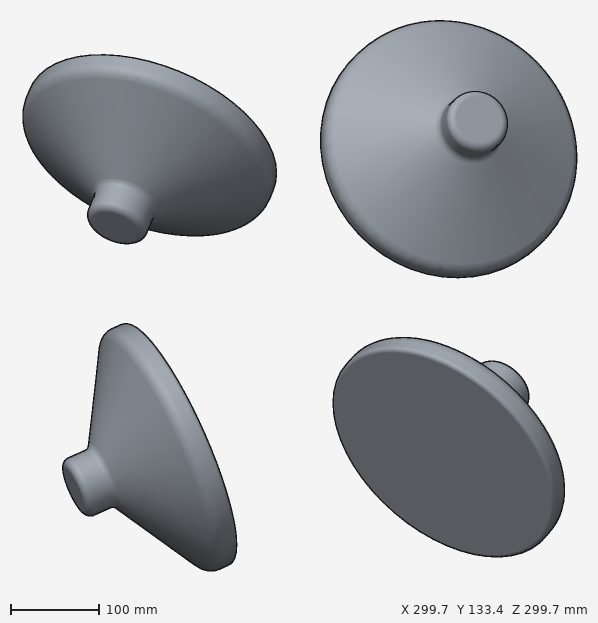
import cadquery as cq


disc_radius = 299.72 / 2
total_depth = 133.35
rim_width = 25.4
stub_radius = 35.8
stub_length = 35.2

back_edge_fillet = 5.08
rim_to_cone_fillet = 16.3
cone_to_stub_fillet = 9.5
stub_end_fillet = 9.0

back_y = 0
rim_front_y = back_y - rim_width
stub_end_y = back_y - total_depth
stub_root_y = stub_end_y + stub_length


def sharp_body():
    """Disc, cone and stub revolved as one profile with unrounded edges."""
    return (
        cq.Workplane("XY")
        .moveTo(0, back_y)
        .lineTo(disc_radius, back_y)
        .lineTo(disc_radius, rim_front_y)
        .lineTo(stub_radius, stub_root_y)
        .lineTo(stub_radius, stub_end_y)
        .lineTo(0, stub_end_y)
        .close()
        .revolve(360, (0, 0, 0), (0, 1, 0))
    )


def round_circle(body, radius, y, fillet):
    """Fillet the circular edge of the given radius lying in the plane at y."""
    tolerance = 0.1
    reach = radius + tolerance
    edge_box = cq.selectors.BoxSelector(
        (-reach, y - tolerance, -reach),
        (reach, y + tolerance, reach),
        boundingbox=True,
    )
    return body.edges(edge_box).edges("%CIRCLE").fillet(fillet)


result = sharp_body()
result = round_circle(result, disc_radius, back_y, back_edge_fillet)
result = round_circle(result, disc_radius, rim_front_y, rim_to_cone_fillet)
result = round_circle(result, stub_radius, stub_root_y, cone_to_stub_fillet)
result = round_circle(result, stub_radius, stub_end_y, stub_end_fillet)